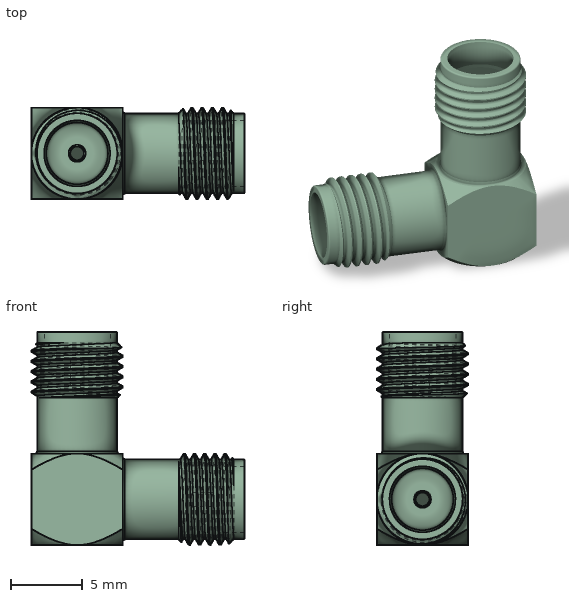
import cadquery as cq
import math

overall_length = 14.81
body_side = 6.35
body_half = body_side / 2
tip_height = overall_length - body_half

corner_drop = 1.13
corner_radius = body_half * math.sqrt(2)

barrel_radius = 2.78
tip_rounding = 0.1
foot_height = 0.15
foot_flare = 0.07

bore_radius = 2.3
bore_depth = 1.93
floor_chamfer = 0.15
contact_radius = 0.59
contact_height = 0.03
hole_radius = 0.47
hole_depth = 1.93

thread_pitch = 0.71
thread_radius = body_half
crest_width = 0.09
flank_angle = 30.0
root_overlap = 0.07
thread_top = tip_height - 0.77
thread_bottom = tip_height - 4.59
crest_offset = 1.35


def make_body():
    """Cube whose corners are trimmed by a cone at the top and at the bottom."""
    cube = cq.Workplane("XY").box(body_side, body_side, body_side)
    trim = (
        cq.Workplane("XZ")
        .moveTo(0, -body_half)
        .lineTo(body_half, -body_half)
        .lineTo(corner_radius, corner_drop - body_half)
        .lineTo(corner_radius, body_half - corner_drop)
        .lineTo(body_half, body_half)
        .lineTo(0, body_half)
        .close()
        .revolve(360, (0, 0, 0), (0, 1, 0))
    )
    return cube.intersect(trim)


def make_barrel():
    """Solid barrel from the body centre to the tip, flared where it meets the body."""
    foot_radius = barrel_radius + foot_flare
    return (
        cq.Workplane("XZ")
        .lineTo(foot_radius, 0)
        .lineTo(foot_radius, body_half)
        .lineTo(barrel_radius, body_half + foot_height)
        .lineTo(barrel_radius, tip_height - tip_rounding)
        .radiusArc((barrel_radius - tip_rounding, tip_height), -tip_rounding)
        .lineTo(0, tip_height)
        .close()
        .revolve(360, (0, 0, 0), (0, 1, 0))
    )


def make_thread():
    """Right-handed ridge, run out at both ends by 45 degree cones."""
    helix_start = thread_bottom - thread_pitch
    helix_length = thread_top - thread_bottom + 2 * thread_pitch
    root_radius = barrel_radius - root_overlap
    crest_half = crest_width / 2
    root_half = crest_half + (thread_radius - root_radius) * math.tan(math.radians(flank_angle))

    helix = cq.Wire.makeHelix(thread_pitch, helix_length, root_radius)
    ridge = (
        cq.Workplane("XZ")
        .moveTo(root_radius, -root_half)
        .lineTo(thread_radius, -crest_half)
        .lineTo(thread_radius, crest_half)
        .lineTo(root_radius, root_half)
        .close()
        .sweep(cq.Workplane(obj=helix), isFrenet=True)
    )
    crest_height = tip_height - crest_offset + thread_pitch / 2
    turns = math.floor((crest_height - helix_start) / thread_pitch)
    ridge = ridge.translate((0, 0, crest_height - turns * thread_pitch))

    middle = (thread_top + thread_bottom) / 2
    widest = barrel_radius + (thread_top - thread_bottom) / 2
    run_out = (
        cq.Workplane("XZ")
        .moveTo(0, middle - widest)
        .lineTo(widest, middle)
        .lineTo(0, middle + widest)
        .close()
        .revolve(360, (0, 0, 0), (0, 1, 0))
    )
    return ridge.intersect(run_out)


def make_socket():
    """Bore in the tip, with a hollow centre contact standing on its floor."""
    floor_height = tip_height - bore_depth
    bore = (
        cq.Workplane("XY").workplane(offset=floor_height)
        .circle(bore_radius)
        .extrude(bore_depth)
        .faces("<Z")
        .chamfer(floor_chamfer)
    )
    contact = (
        cq.Workplane("XY").workplane(offset=floor_height)
        .circle(contact_radius)
        .extrude(contact_height)
    )
    contact_hole = (
        cq.Workplane("XY").workplane(offset=floor_height - hole_depth)
        .circle(hole_radius)
        .extrude(hole_depth + bore_depth)
    )
    return bore.cut(contact).union(contact_hole)


threaded_arm = make_barrel().union(make_thread()).cut(make_socket())
side_arm = threaded_arm.rotate((0, 0, 0), (0, 1, 0), 90)
result = make_body().union(threaded_arm).union(side_arm)